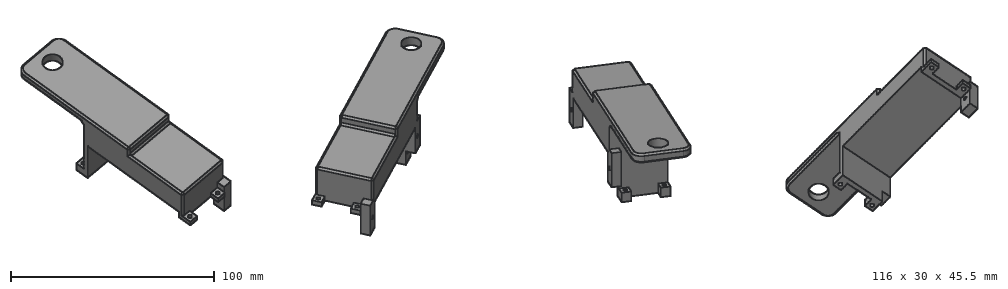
import cadquery as cq

length = 116.0
width = 30.0
height = 45.5

block = 5.0
wall = 2.5
edge = 1.0
screw_diameter = 2.0

plate_end = 74.8
plate_thickness = 5.1
corner_radius = block
finger_hole_diameter = 10.0
finger_hole_x = 2 * block

body_start = 44.8
body_end = length - block
body_depth = 20.6
end_wall_inside = body_end - wall
leg_inside = body_start + wall

tab_top = height - 22.0
tab_bottom = tab_top - 2.8

lug_width = 7.0
lug_top = height - 18.1
lug_bottom = height - 36.9
lug_hole_inset = 3.8
lug_hole_z = height - 28.3

foot_height = 5.2

shoulder = height - plate_thickness
body_bottom = height - body_depth
lug_front = width - block
rear_block_front = lug_front - block


def box(x_range, y_range, z_range):
    """Box filling the given start and end coordinates."""
    (x0, x1), (y0, y1), (z0, z1) = x_range, y_range, z_range
    return cq.Workplane("XY").box(x1 - x0, y1 - y0, z1 - z0, centered=False).translate((x0, y0, z0))


def prism(points, y_start, y_end):
    """Extrude an XZ outline between two Y positions."""
    return cq.Workplane("XZ", origin=(0, y_start, 0)).polyline(points).close().extrude(y_start - y_end)


def make_plate():
    plate = box((0, plate_end), (0, width), (shoulder, height))
    plate = plate.edges("|Z and <X").fillet(corner_radius)
    plate = plate.edges("|Z and >X").chamfer(edge)
    return plate.faces("<Z or >Z").edges().chamfer(edge)


def make_body():
    lower = box((body_start, body_end), (0, width), (tab_bottom, shoulder))
    lower = lower.edges("|Z and >X").chamfer(edge)
    lower = lower.faces(">Z").edges("not <X").chamfer(edge)
    lower = lower.cut(box((leg_inside, end_wall_inside), (0, width), (tab_bottom, body_bottom)))

    upper = prism(
        [
            (body_start, shoulder - edge),
            (body_start - 2 * edge, shoulder + edge),
            (body_start - 2 * edge, height - edge),
            (plate_end - edge, height - edge),
            (plate_end - edge, shoulder - edge),
        ],
        0,
        width,
    )
    step = box((body_start, plate_end), (0, width), (shoulder - edge, height - edge))
    step = step.edges("|Z and >X").chamfer(edge)
    step_slope = prism(
        [
            (plate_end - edge, shoulder - edge),
            (plate_end - edge, shoulder + 2 * edge),
            (plate_end + 2 * edge, shoulder - edge),
        ],
        edge,
        width - edge,
    )
    return lower.union(upper).union(step).union(step_slope)


def make_leg():
    leg = box((body_start, leg_inside), (0, lug_front), (0, body_bottom))
    rear_strip = box((body_start, leg_inside), (lug_front, width), (lug_bottom, body_bottom))
    return leg.union(rear_strip)


def make_feet_and_tabs():
    block_starts = (0, rear_block_front)
    blocks = box((end_wall_inside, body_end), (0, width), (tab_bottom, tab_top))
    for y in block_starts:
        blocks = blocks.union(
            box((body_start - block, leg_inside), (y, y + block), (0, foot_height))
        )
        blocks = blocks.union(box((end_wall_inside, length), (y, y + block), (tab_bottom, tab_top)))
    hole_points = [
        (x + block / 2, y + block / 2)
        for x in (body_start - block, body_end)
        for y in block_starts
    ]
    holes = cq.Workplane("XY").pushPoints(hole_points).circle(screw_diameter / 2).extrude(tab_top)
    return blocks.cut(holes)


def make_lug(x_start, hole_x):
    lug = box((x_start, x_start + lug_width), (lug_front, width), (lug_bottom, lug_top))
    return lug, (
        cq.Workplane("XZ", origin=(0, lug_front, 0))
        .center(hole_x, lug_hole_z)
        .circle(screw_diameter / 2)
        .extrude(-block)
    )


result = make_plate().union(make_body()).union(make_leg()).union(make_feet_and_tabs())

lug_layout = (
    (leg_inside - lug_width, leg_inside - lug_width + lug_hole_inset),
    (end_wall_inside, end_wall_inside + lug_width - lug_hole_inset),
)
for lug_start, lug_hole_x in lug_layout:
    lug, lug_hole = make_lug(lug_start, lug_hole_x)
    result = result.union(lug).cut(lug_hole)

finger_hole = (
    cq.Workplane("XY", origin=(finger_hole_x, width / 2, shoulder))
    .circle(finger_hole_diameter / 2)
    .extrude(plate_thickness)
)
result = result.cut(finger_hole)